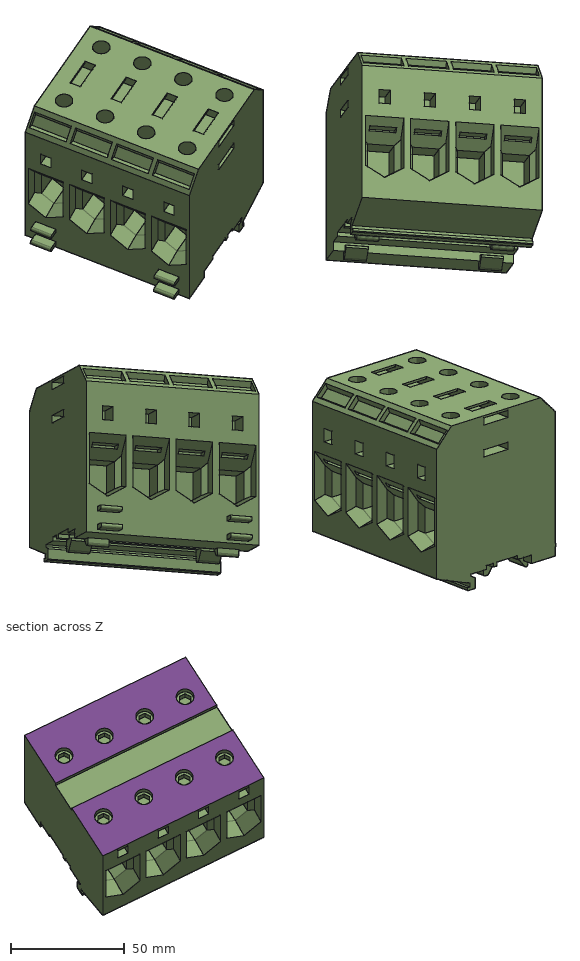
import cadquery as cq
import math

pole_count = 4
pole_pitch = 20.3
block_width = pole_count * pole_pitch
body_depth = 70.35
total_height = 79.7
half_depth = body_depth / 2
front_y = -half_depth
top_z = total_height
chamfer = 8.7
clipped_poles = (0, pole_count - 1)

base_z = 3.3
back_slope_z = 10.1
rail_roof_z = 7.3
rail_recess_z = 9.1
rail_front_y = -20.9
recess_front_y, recess_back_y = -12.6, 5.7
rib_front_y, rib_back_y = -0.6, 1.6
foot_front_y, foot_back_y = 12.2, 15.5
foot_slot_y = 14.8
foot_toe_y = 17.0
foot_toe_z = 1.5
foot_corner = 0.4
foot_lip_z, foot_slot_z = 5.0, 6.4

clip_width = 10.0
clip_round = 1.0
middle_clip_back_y, middle_clip_front_y = 2.75, -0.95
middle_clip_toe_y, middle_clip_barb_y = 0.0, -3.1
middle_clip_bottom, middle_clip_barb_low, middle_clip_barb_high = 1.8, 6.1, 7.2
middle_clip_neck_z = 7.7
front_clip_front_y, front_clip_toe_y = -23.6, -22.0
front_clip_barb_y, front_clip_shoulder_y = -18.3, -19.4
front_clip_barb_low, front_clip_barb_high, front_clip_top = 4.3, 5.3, 5.75
upper_tab_bottom, upper_tab_top, upper_tab_reach = 13.0, 15.0, 4.7
lower_tab_bottom, lower_tab_top, lower_tab_reach = 4.7, 6.9, 5.1

window_width = 18.2
window_length = 7.3
window_depth = 2.6
window_taper = 1.15

bridge_length = 14.3
bridge_height = 3.35
upper_bridge_drop = 1.05
lower_bridge_drop = 16.0
pocket_width = 5.0

well_offset = 17.7
well_diameter = 7.6
well_depth = 20.0
hex_across_flats = 5.0
hex_depth = 3.0

test_width = 5.0
test_height = 6.25
test_drop = 19.3
test_depth = 10.0

funnel_width = 17.2
funnel_top_drop = 31.7
funnel_side_drop = 54.7
funnel_v_angle = 30.0
funnel_straight_depth = 6.0
funnel_depth = 7.8
funnel_roof_fall = 10.5
funnel_floor_rise = 1.7
bore_width = 12.1
bore_depth = 10.0
blade_slot_drop = 35.4
blade_slot_height = 1.9


def pole_x(index):
    """X of the middle of a pole."""
    return (index + 0.5) * pole_pitch


def extrude_along_x(outline, x_start, width):
    """Prism along +X from an outline of (y, z) points."""
    return cq.Workplane("YZ").workplane(offset=x_start).polyline(outline).close().extrude(width)


def box_between(x_mid, width, y_start, y_end, z_start, z_end):
    """Box centred on x_mid and spanning the given Y and Z ranges."""
    box = cq.Workplane("XY").box(width, y_end - y_start, z_end - z_start, centered=(True, False, False))
    return box.translate((x_mid, y_start, z_start))


def make_body():
    outline = [
        (front_y, base_z),
        (front_y, top_z - chamfer),
        (front_y + chamfer, top_z),
        (half_depth - chamfer, top_z),
        (half_depth, top_z - chamfer),
        (half_depth, back_slope_z),
        (foot_back_y, base_z),
        (foot_back_y, foot_toe_z),
        (foot_toe_y, foot_toe_z),
        (foot_toe_y, foot_corner),
        (foot_toe_y - foot_corner, 0),
        (foot_front_y + foot_corner, 0),
        (foot_front_y, foot_corner),
        (foot_front_y, foot_lip_z),
        (foot_slot_y, foot_slot_z),
        (foot_slot_y, rail_roof_z),
        (recess_back_y, rail_roof_z),
        (recess_back_y, rail_recess_z),
        (rib_back_y, rail_recess_z),
        (rib_back_y, rail_roof_z),
        (rib_front_y, rail_roof_z),
        (rib_front_y, rail_recess_z),
        (recess_front_y, rail_recess_z),
        (recess_front_y, rail_roof_z),
        (rail_front_y, rail_roof_z),
        (rail_front_y, base_z),
    ]
    return extrude_along_x(outline, 0, block_width)


def make_middle_clip(x_start):
    outline = [
        (middle_clip_back_y, rail_recess_z),
        (middle_clip_back_y, middle_clip_bottom),
        (middle_clip_toe_y, middle_clip_bottom),
        (middle_clip_barb_y, middle_clip_barb_low),
        (middle_clip_barb_y, middle_clip_barb_high),
        (middle_clip_front_y, middle_clip_neck_z),
        (middle_clip_front_y, rail_recess_z),
    ]
    clip = extrude_along_x(outline, x_start, clip_width)
    return clip.edges("|X and <Z").fillet(clip_round)


def make_front_clip(x_start):
    outline = [
        (front_clip_front_y, base_z),
        (front_clip_front_y, 0),
        (front_clip_toe_y, 0),
        (front_clip_barb_y, front_clip_barb_low),
        (front_clip_barb_y, front_clip_barb_high),
        (front_clip_shoulder_y, front_clip_top),
        (rail_front_y, front_clip_top),
        (rail_front_y, base_z),
    ]
    clip = extrude_along_x(outline, x_start, clip_width)
    return clip.edges("|X and <Z").fillet(clip_round)


def make_tab(x_start, bottom, top, reach):
    """Release tab on the front face with a fully rounded end."""
    tip_y = front_y - reach
    shoulder_y = tip_y + (top - bottom) / 2
    profile = (
        cq.Workplane("YZ")
        .workplane(offset=x_start)
        .moveTo(front_y, bottom)
        .lineTo(shoulder_y, bottom)
        .threePointArc((tip_y, (bottom + top) / 2), (shoulder_y, top))
        .lineTo(front_y, top)
        .close()
    )
    return profile.extrude(clip_width)


def make_marker_window(x_mid):
    """Recess square to the front chamfer, with its two long walls drafted inwards."""
    chamfer_mid = cq.Vector(x_mid, front_y + chamfer / 2, top_z - chamfer / 2)
    plane = cq.Plane(origin=chamfer_mid, xDir=(0, 1, 1), normal=(1, 0, 0))
    half_mouth = window_length / 2
    half_floor = half_mouth - window_taper
    section = [
        (-half_mouth, 0),
        (half_mouth, 0),
        (half_floor, -window_depth),
        (-half_floor, -window_depth),
    ]
    return cq.Workplane(plane).polyline(section).close().extrude(window_width / 2, both=True)


def entry_outline(x_mid, width, side_z, roof_z, y):
    """Wire in a plane of constant Y: flat roof, vertical sides and a V-shaped floor."""
    half_width = width / 2
    tip_z = side_z - half_width * math.tan(math.radians(funnel_v_angle))
    points = [
        (x_mid - half_width, roof_z),
        (x_mid + half_width, roof_z),
        (x_mid + half_width, side_z),
        (x_mid, tip_z),
        (x_mid - half_width, side_z),
    ]
    return cq.Wire.makePolygon([cq.Vector(x, y, z) for x, z in points], close=True)


def make_wire_entry(x_mid):
    """Funnel narrowing to a bore, plus the blade slot in the funnel roof."""
    roof_z = top_z - funnel_top_drop
    side_z = top_z - funnel_side_drop
    throat_y = front_y + funnel_depth
    throat_roof_z = roof_z - funnel_roof_fall

    rise = cq.Vector(0, funnel_depth, funnel_floor_rise)
    mouth = entry_outline(x_mid, funnel_width, side_z, roof_z, front_y)
    funnel = cq.Workplane(cq.Solid.extrudeLinear(mouth, [], rise))

    half_mouth = funnel_width / 2
    half_bore = bore_width / 2
    straight_end_y = front_y + funnel_straight_depth
    plan = [
        (x_mid - half_mouth, front_y),
        (x_mid + half_mouth, front_y),
        (x_mid + half_mouth, straight_end_y),
        (x_mid + half_bore, throat_y),
        (x_mid - half_bore, throat_y),
        (x_mid - half_mouth, straight_end_y),
    ]
    funnel = funnel.intersect(cq.Workplane("XY").polyline(plan).close().extrude(total_height))

    side_view = [(front_y, 0), (front_y, roof_z), (throat_y, throat_roof_z), (throat_y, 0)]
    funnel = funnel.intersect(extrude_along_x(side_view, x_mid - half_mouth, funnel_width))

    v_slope = math.tan(math.radians(funnel_v_angle))
    bore_side_z = side_z + funnel_floor_rise - (half_mouth - half_bore) * v_slope
    throat = entry_outline(x_mid, bore_width, bore_side_z, throat_roof_z, throat_y)
    bore = cq.Workplane(cq.Solid.extrudeLinear(throat, [], cq.Vector(0, bore_depth, 0)))

    slot_top = top_z - blade_slot_drop
    blade_slot = box_between(x_mid, bore_width, front_y, throat_y, slot_top - blade_slot_height, slot_top)
    return funnel.union(bore).union(blade_slot)


def make_screw_well(x_mid):
    well_floor_z = top_z - well_depth
    hex_circle = hex_across_flats / math.cos(math.pi / 6)
    well = cq.Workplane("XY", origin=(x_mid, -well_offset, well_floor_z))
    hex_socket = well.polygon(6, hex_circle).extrude(-hex_depth)
    return well.circle(well_diameter / 2).extrude(well_depth).union(hex_socket)


def make_test_opening(x_mid):
    opening_top = top_z - test_drop
    return box_between(x_mid, test_width, front_y, front_y + test_depth, opening_top - test_height, opening_top)


def make_bridge_slot(drop):
    """Slot running through all poles along X."""
    roof_z = top_z - drop
    half_length = bridge_length / 2
    return box_between(block_width / 2, block_width, -half_length, half_length, roof_z - bridge_height, roof_z)


def make_top_pocket(x_mid):
    """Opening from the top face down to the floor of the upper bridge slot."""
    floor_z = top_z - upper_bridge_drop - bridge_height
    half_length = bridge_length / 2
    return box_between(x_mid, pocket_width, -half_length, half_length, floor_z, top_z)


result = make_body()

for pole in clipped_poles:
    clip_start = pole_x(pole) - clip_width / 2
    result = result.union(make_middle_clip(clip_start))
    result = result.union(make_front_clip(clip_start))
    result = result.union(make_tab(clip_start, upper_tab_bottom, upper_tab_top, upper_tab_reach))
    result = result.union(make_tab(clip_start, lower_tab_bottom, lower_tab_top, lower_tab_reach))

for pole in range(pole_count):
    x_mid = pole_x(pole)
    for make_opening in (make_marker_window, make_wire_entry, make_screw_well, make_test_opening):
        opening = make_opening(x_mid)
        result = result.cut(opening).cut(opening.mirror("XZ"))
    result = result.cut(make_top_pocket(x_mid))

for bridge_drop in (upper_bridge_drop, lower_bridge_drop):
    result = result.cut(make_bridge_slot(bridge_drop))